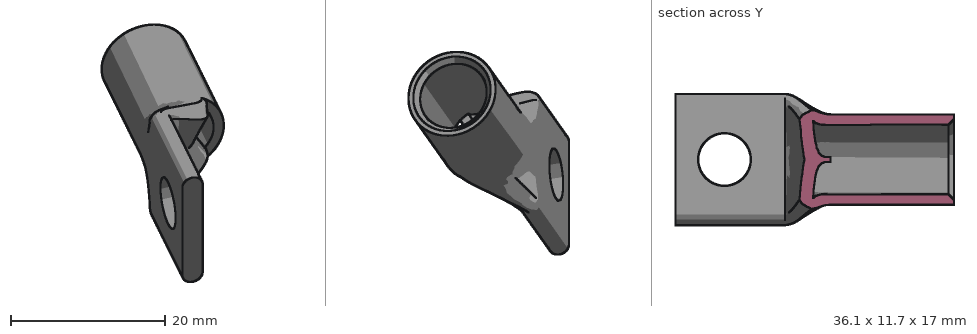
import cadquery as cq
import math

length = 36.07
outer_diameter = 11.72
palm_thickness = 2.78
barrel_length = 15.98
palm_start = 21.85
palm_height = 17.03
hole_diameter = 6.78
hole_x = 29.72
mouth_radius = 5.2
mouth_depth = 0.72
corner_angle = math.radians(29.0)
seam_angle = math.radians(-35.0)
crease_y = -0.18
section_count = 7
crease_lag = 1.8
straight_tolerance = 1.3e-07
crease_outer_points = 2
crease_inner_points = 1
slit = 0.018

outer_radius = outer_diameter / 2
wall = palm_thickness / 2
bore_radius = outer_radius - wall
palm_y = wall - outer_radius
fold_z = palm_height / 2 - wall


def polar(radius, angle):
    """Point (y, z) on a barrel circle, with the angle measured from +Z toward +Y."""
    return radius * math.sin(angle), radius * math.cos(angle)


def fold_point(angle):
    """Point (y, z) on the rounded palm edge, with the angle measured from +Z toward +Y."""
    return palm_y + wall * math.sin(angle), fold_z + wall * math.cos(angle)


corner = polar(bore_radius, corner_angle)
crease_angle = math.atan2(corner[1], corner[0] - crease_y)
crease_outer_y = crease_y + wall / math.sin(crease_angle)


def corner_point(angle):
    """Point (y, z) on the rounded outer corner of the crushed section."""
    return corner[0] + wall * math.sin(angle), corner[1] + wall * math.cos(angle)


crease_normal = math.pi - crease_angle
crushed_outer = [
    (-outer_radius, 0),
    polar(outer_radius, seam_angle),
    polar(outer_radius, (seam_angle + corner_angle) / 2),
    polar(outer_radius, corner_angle),
    corner_point((corner_angle + crease_normal) / 2),
    corner_point(crease_normal),
    (crease_outer_y, 0),
]
flat_outer = [
    (palm_y - wall, 0),
    (palm_y - wall, fold_z),
    fold_point(-math.pi / 4),
    fold_point(0),
    fold_point(math.pi / 4),
    (palm_y + wall, fold_z),
    (palm_y + wall, 0),
]


def ease(t):
    """Smooth step from 0 to 1 that starts and ends level."""
    return t * t * (3 - 2 * t)


def blend(start, end, t, lagging):
    """Ease between two lists of matching points; the last few, on the crease, lag behind."""
    points = []
    for i, (p, q) in enumerate(zip(start, end)):
        late = i >= len(start) - lagging
        amount = ease(t**crease_lag) if late else ease(t)
        points.append((p[0] + (q[0] - p[0]) * amount, p[1] + (q[1] - p[1]) * amount))
    return points


def section_wire(points, x):
    """Closed wire, symmetric about Z = 0: underside, arcs up each side, then the V crease."""

    def place(point, side):
        return cq.Vector(x, point[0], side * point[1])

    def curve(first, middle, last):
        bend = (middle - first).cross(last - first).Length
        if bend < straight_tolerance:
            return cq.Edge.makeLine(first, last)
        return cq.Edge.makeThreePointArc(first, middle, last)

    upper = [place(p, 1) for p in points]
    lower = [place(p, -1) for p in points]
    last_corner = len(points) - 2
    edges = [curve(lower[1], upper[0], upper[1])]
    for i in range(1, last_corner, 2):
        edges.append(curve(*upper[i:i + 3]))
    edges.append(cq.Edge.makeLine(upper[-2], upper[-1]))
    edges.append(cq.Edge.makeLine(lower[-1], lower[-2]))
    for i in range(last_corner, 1, -2):
        edges.append(curve(lower[i], lower[i - 1], lower[i - 2]))
    return cq.Wire.assembleEdges(edges)


def transition(start, end, lagging):
    """Solid that eases from one outline to the other, level at both ends."""
    wires = []
    for i in range(section_count):
        t = i / (section_count - 1)
        x = barrel_length + (palm_start - barrel_length) * t
        wires.append(section_wire(blend(start, end, t, lagging), x))
    return cq.Workplane(obj=cq.Solid.makeLoft(wires))


crushed_inner = [(-bore_radius, 0), corner, (crease_y, 0)]
flat_inner = [(palm_y - slit / 2, 0), (palm_y, fold_z), (palm_y + slit / 2, 0)]

barrel = cq.Workplane("YZ").circle(outer_radius).circle(bore_radius).extrude(barrel_length)
mouth = cq.Workplane(obj=cq.Solid.makeCone(
    mouth_radius, bore_radius, mouth_depth, cq.Vector(0, 0, 0), cq.Vector(1, 0, 0)))
barrel = barrel.cut(mouth)

palm = (
    cq.Workplane("YZ", origin=(palm_start, palm_y, 0))
    .slot2D(palm_height, palm_thickness, 90)
    .extrude(length - palm_start)
)
hole = (
    cq.Workplane("XZ", origin=(hole_x, 0, 0))
    .circle(hole_diameter / 2)
    .extrude(outer_diameter)
)
palm = palm.cut(hole)

neck_body = transition(crushed_outer, flat_outer, crease_outer_points)
neck_cavity = transition(crushed_inner, flat_inner, crease_inner_points)
neck = neck_body.cut(neck_cavity)

result = barrel.union(neck).union(palm)